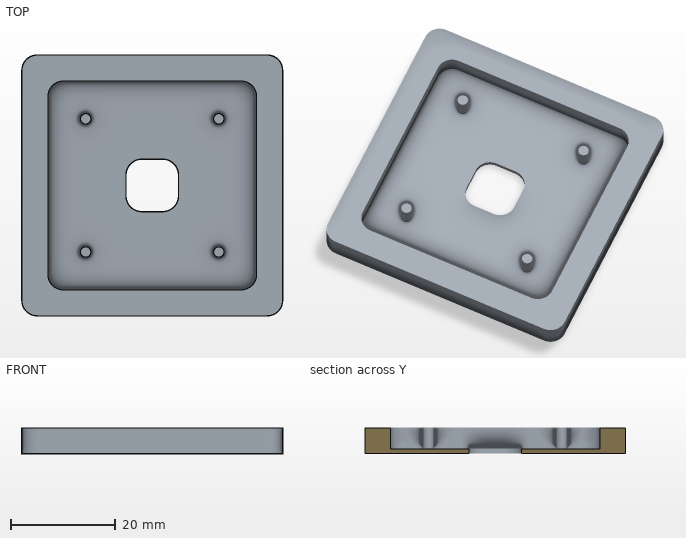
import cadquery as cq

side = 50.0
height = 5.0
corner_radius = 3.0
rim_width = 5.0
floor_thickness = 1.0

recess_side = side - 2 * rim_width
recess_depth = height - floor_thickness
recess_radius = 3.0
window_side = 10.0
window_radius = 3.0

pin_diameter = 2.0
pin_spacing = 25.5
pin_height = 4.0


def rounded_square(width, radius, thickness, base):
    """Square block with rounded vertical edges, centred on Z, standing at height base."""
    block = cq.Workplane("XY").workplane(offset=base).rect(width, width).extrude(thickness)
    return block.edges("|Z").fillet(radius)


tray = rounded_square(side, corner_radius, height, 0)
recess = rounded_square(recess_side, recess_radius, recess_depth, floor_thickness)
window = rounded_square(window_side, window_radius, floor_thickness, 0)

pins = (
    cq.Workplane("XY")
    .rarray(pin_spacing, pin_spacing, 2, 2)
    .circle(pin_diameter / 2)
    .extrude(floor_thickness + pin_height)
)

result = tray.cut(recess).cut(window).union(pins)